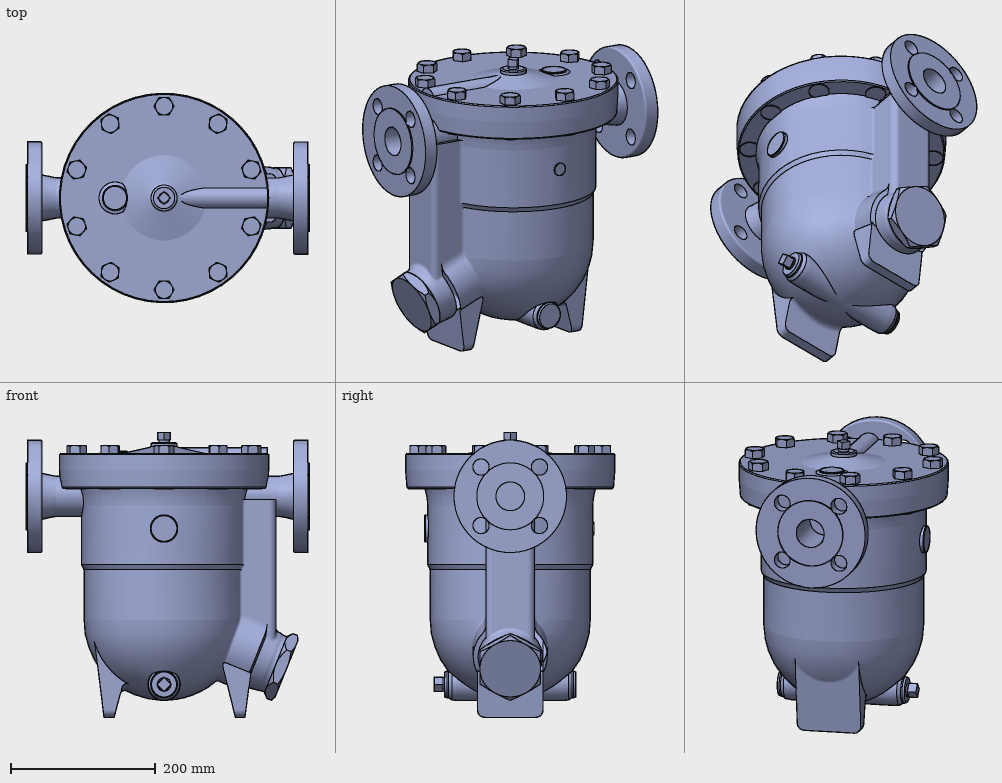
import cadquery as cq
import math


total_height = 394.5
flange_diameter = 290.0
flange_radius = flange_diameter / 2
lid_top = 365.5
lid_bottom = 342.0
flange_bottom = 317.0
flange_draft = 1.5
upper_radius = 114.5
flare_radius = 118.5
flare_bulge = 1.0
flare_bottom = 293.5
step_top = 211.5
step_bottom = 204.7
lower_radius = 111.0
dome_top = 134.5
dome_bottom = dome_top - lower_radius
edge_round = 1.5

cone_foot_radius = 59.0
cone_foot_height = 1.0
cone_base_radius = 53.5
cone_top_radius = 20.0
cone_top = 374.0
plug_seat_diameter = 36.0
plug_seat_foot = 375.0
plug_seat_top = 380.5
plug_seat_chamfer_width = 3.0
plug_seat_chamfer_height = 1.0
ridge_radius = 16.0
ridge_top = 373.5
side_boss_x = -68.0
side_boss_foot_radius = 22.0
side_boss_radius = 17.5
side_boss_foot_height = 1.5
side_boss_height = 3.5
side_boss_chamfer = 1.0
side_boss_root = 4.0

bolt_count = 10
bolt_circle_radius = 127.0
bolt_flats = 24.0
bolt_height = 11.5
bolt_chamfer = 1.5
bolt_pad_diameter = 28.0
bolt_pad_height = 1.0

pipe_z = 306.0
pipe_diameter = 56.0
pipe_flange_diameter = 156.0
pipe_flange_thickness = 20.0
raised_face_diameter = 92.7
raised_face_height = 2.0
hub_radius = 32.0
hub_length = 19.7
rim_round = 2.8
bore_diameter = 40.0
bore_depth = 79.0
stud_hole_diameter = 22.5
stud_circle_diameter = 114.5
stud_hole_count = 4
inlet_face_x = -191.0
outlet_face_x = 201.0

riser_outer_x = 155.0
riser_half_width = 33.5
riser_top = 301.5
riser_edge_round = 8.5
riser_bottom = 79.0
riser_wall_fillet = 4.0

strainer_tilt = 22.0
strainer_end_x = 169.5
strainer_end_z = 67.5
strainer_body_diameter = 102.5
strainer_body_chamfer = 2.5
strainer_body_end = 43.5
strainer_body_length = 79.0
strainer_riser_fillet = 19.7
strainer_neck_fillet = 6.0
strainer_neck_start_diameter = 89.0
strainer_neck_end_diameter = 85.2
strainer_neck_end = 25.0
strainer_collar_diameter = 83.0
strainer_collar_start = 21.0
cap_flats = 84.0
cap_thickness = 16.0
cap_outer_chamfer = 3.0
cap_inner_chamfer = 6.5

foot_width = 90.7
foot_corner_round = 10.3
foot_dome_fillet = 6.0
foot_blank_height = 118.5
foot_blank_length = 394.5
inlet_foot_outline = [(-83.2, 0), (-69.0, 0), (-53.3, 60.0), (-53.3, 106.5), (-96.3, 106.5)]
outlet_foot_outline = [(98.5, 0), (112.0, 0), (120.0, 60.0), (120.0, 79), (81.3, 79), (81.3, 71)]

drain_z = 45.8
drain_radius = 22.5
drain_draft_y = 73.8
drain_shoulder_y = 81.0
drain_shoulder_radius = 21.7
drain_collar_y = 85.5
drain_collar_radius = 18.5
drain_bevel_y = 87.5
drain_end_radius = 17.5
drain_end_y = 90.7
drain_head_side = 14.2
drain_head_length = 12.2
drain_neck_diameter = 18.5
drain_neck_length = 2.5

top_head_side = 12.5
top_head_length = 10.3
plug_neck_diameter = 14.5

wall_boss_z = 261.5
front_boss_diameter = 38.0
front_boss_reach = 118.7
rear_boss_diameter = 17.8
rear_boss_reach = 116.0
wall_boss_chamfer = 1.0

pick_margin = 0.5
body_blend_x = (79, 134)
body_blend_z = (118.5, 157.8)
neck_blend_x = (154, 156.0)
neck_blend_y = (-4, 4)
neck_blend_z = (102.5, 126.2)
wall_blend_x = (102.5, 112.5)
wall_blend_z = (142, 300)
dome_blend_x = (-98.5, -51.3)
dome_blend_y = (-4, 4)
dome_blend_z = (35.5, 110.5)


def cylinder(plane, origin, radius, length):
    return cq.Workplane(plane, origin=origin).circle(radius).extrude(length)


def pick_box(x_range, y_range, z_range):
    """Opposite corners of a box given by its three ranges."""
    return tuple(zip(x_range, y_range, z_range))


def riser_side_boxes(x_range, z_range):
    """Thin boxes around the two flat sides of the riser."""
    return [
        pick_box(x_range, (y - pick_margin, y + pick_margin), z_range)
        for y in (-riser_half_width, riser_half_width)
    ]


def fillet_edges(solid, boxes, radius, kind=None):
    """Round the edges whose centres lie in any of the boxes."""
    edges = solid.edges(kind)
    chosen = []
    for low, high in boxes:
        chosen += edges.edges(cq.selectors.BoxSelector(low, high)).vals()
    return solid.newObject(chosen).fillet(radius)


def make_vessel():
    """Domed body, bolting flange and lid with its central cone, as one turned solid."""
    seat_radius = plug_seat_diameter / 2
    half = math.sqrt(0.5)
    flare_mid = (upper_radius + flare_bulge, (flare_bottom + flange_bottom) / 2)
    return (
        cq.Workplane("XZ")
        .moveTo(0, dome_bottom)
        .threePointArc((lower_radius * half, dome_top - lower_radius * half), (lower_radius, dome_top))
        .lineTo(lower_radius, step_bottom)
        .lineTo(upper_radius, step_top)
        .lineTo(upper_radius, flare_bottom)
        .threePointArc(flare_mid, (flare_radius, flange_bottom))
        .lineTo(flange_radius - flange_draft - edge_round, flange_bottom)
        .lineTo(flange_radius - flange_draft, flange_bottom + edge_round)
        .lineTo(flange_radius, lid_bottom)
        .lineTo(flange_radius, lid_top - edge_round)
        .lineTo(flange_radius - edge_round, lid_top)
        .lineTo(cone_foot_radius, lid_top)
        .lineTo(cone_base_radius, lid_top + cone_foot_height)
        .lineTo(cone_top_radius, cone_top)
        .lineTo(seat_radius, plug_seat_foot)
        .lineTo(seat_radius, plug_seat_top - plug_seat_chamfer_height)
        .lineTo(seat_radius - plug_seat_chamfer_width, plug_seat_top)
        .lineTo(0, plug_seat_top)
        .close()
        .revolve(360, (0, 0, 0), (0, 1, 0))
    )


def make_lid_fittings():
    """Radial ridge from the cone to the lid rim, and the low round boss opposite."""
    ridge_reach = flange_radius - edge_round
    ridge = cylinder("YZ", (0, 0, ridge_top - ridge_radius), ridge_radius, flange_radius)
    ridge = ridge.intersect(cylinder("XY", (0, 0, lid_bottom), ridge_reach, total_height - lid_bottom))
    boss = (
        cq.Workplane("XZ", origin=(side_boss_x, 0, lid_top))
        .moveTo(0, -side_boss_root)
        .lineTo(side_boss_foot_radius, -side_boss_root)
        .lineTo(side_boss_foot_radius, 0)
        .lineTo(side_boss_radius, side_boss_foot_height)
        .lineTo(side_boss_radius, side_boss_height - side_boss_chamfer)
        .lineTo(side_boss_radius - side_boss_chamfer, side_boss_height)
        .lineTo(0, side_boss_height)
        .close()
        .revolve(360, (0, 0, 0), (0, 1, 0))
    )
    return ridge.union(boss)


def make_top_plug():
    """Round neck and square head above the plug seat."""
    head_bottom = total_height - top_head_length
    neck = cylinder("XY", (0, 0, plug_seat_top), plug_neck_diameter / 2, head_bottom - plug_seat_top)
    head = (
        cq.Workplane("XY", origin=(0, 0, head_bottom))
        .rect(top_head_side, top_head_side)
        .extrude(top_head_length)
        .rotate((0, 0, 0), (0, 0, 1), 45)
    )
    return neck.union(head)


def hexagon_head(flats, height, top_chamfer, bottom_chamfer=0):
    """Hexagon prism on XY, corners on the X axis, with its end corners turned off."""
    corner_radius = flats / math.cos(math.pi / 6) / 2
    flat_radius = flats / 2
    prism = cq.Workplane("XY").polygon(6, 2 * corner_radius).extrude(height)
    outline = [(0, 0), (corner_radius, 0)]
    if bottom_chamfer:
        outline = [(0, 0), (flat_radius, 0), (corner_radius, bottom_chamfer)]
    outline += [(corner_radius, height - top_chamfer), (flat_radius, height), (0, height)]
    turned = cq.Workplane("XZ").polyline(outline).close().revolve(360, (0, 0, 0), (0, 1, 0))
    return prism.intersect(turned)


def make_bolts():
    """Hexagon heads on the lid and round pads below the flange, on one circle."""
    bolts = cq.Workplane("XY")
    head = hexagon_head(bolt_flats, bolt_height, bolt_chamfer)
    pad_length = lid_bottom - flange_bottom + bolt_pad_height
    for index in range(bolt_count):
        turn = index * 360 / bolt_count
        angle = math.radians(90 + turn)
        x = bolt_circle_radius * math.cos(angle)
        y = bolt_circle_radius * math.sin(angle)
        pad = cylinder("XY", (x, y, flange_bottom - bolt_pad_height), bolt_pad_diameter / 2, pad_length)
        placed_head = head.rotate((0, 0, 0), (0, 0, 1), turn).translate((x, y, lid_top))
        bolts = bolts.union(placed_head).union(pad)
    return bolts


def make_pipe(face_x):
    """Flanged pipe from the vessel axis to a sealing face at face_x."""
    reach = abs(face_x)
    flange_front = reach - raised_face_height
    flange_back = flange_front - pipe_flange_thickness
    pipe = (
        cq.Workplane("XY")
        .moveTo(0, 0)
        .lineTo(pipe_diameter / 2, 0)
        .lineTo(pipe_diameter / 2, flange_back - hub_length)
        .lineTo(hub_radius, flange_back)
        .lineTo(pipe_flange_diameter / 2 - rim_round, flange_back)
        .radiusArc((pipe_flange_diameter / 2, flange_back + rim_round), -rim_round)
        .lineTo(pipe_flange_diameter / 2, flange_front)
        .lineTo(raised_face_diameter / 2, flange_front)
        .lineTo(raised_face_diameter / 2, reach)
        .lineTo(0, reach)
        .close()
        .revolve(360, (0, 0, 0), (0, 1, 0))
    )
    stud_holes = (
        cq.Workplane("XZ", origin=(0, reach, 0))
        .polarArray(stud_circle_diameter / 2, 45, 360, stud_hole_count)
        .circle(stud_hole_diameter / 2)
        .extrude(raised_face_height + pipe_flange_thickness)
    )
    turn = -90 if face_x > 0 else 90
    return pipe.cut(stud_holes).rotate((0, 0, 0), (0, 0, 1), turn).translate((0, 0, pipe_z))


def make_bore(face_x):
    direction = -1 if face_x > 0 else 1
    return cylinder("YZ", (face_x, 0, pipe_z), bore_diameter / 2, direction * bore_depth)


def make_riser():
    """Upright passage joining the strainer to the outlet pipe."""
    return (
        cq.Workplane("XY", origin=(riser_outer_x / 2, 0, riser_bottom))
        .rect(riser_outer_x, riser_half_width * 2)
        .extrude(riser_top - riser_bottom)
        .edges("|Z and >X")
        .fillet(riser_edge_round)
    )


def make_strainer():
    """Inclined stepped body closed by a hexagon cap."""
    body_radius = strainer_body_diameter / 2
    collar_radius = strainer_collar_diameter / 2
    body = (
        cq.Workplane("XZ")
        .moveTo(0, -strainer_body_end - strainer_body_length)
        .lineTo(body_radius, -strainer_body_end - strainer_body_length)
        .lineTo(body_radius, -strainer_body_end - strainer_body_chamfer)
        .lineTo(strainer_neck_start_diameter / 2, -strainer_body_end)
        .lineTo(strainer_neck_end_diameter / 2, -strainer_neck_end)
        .lineTo(collar_radius, -strainer_collar_start)
        .lineTo(collar_radius, -cap_thickness)
        .lineTo(0, -cap_thickness)
        .close()
        .revolve(360, (0, 0, 0), (0, 1, 0))
    )
    cap = hexagon_head(cap_flats, cap_thickness, cap_outer_chamfer, cap_inner_chamfer)
    return (
        body.union(cap.translate((0, 0, -cap_thickness)))
        .rotate((0, 0, 0), (0, 1, 0), 90 + strainer_tilt)
        .translate((strainer_end_x, 0, strainer_end_z))
    )


def make_outlet_side():
    """Riser and strainer joined, with the blends between them."""
    joined = make_riser().union(make_strainer())
    neck_box = pick_box(neck_blend_x, neck_blend_y, neck_blend_z)
    joined = fillet_edges(joined, [neck_box], strainer_neck_fillet)
    body_boxes = riser_side_boxes(body_blend_x, body_blend_z)
    return fillet_edges(joined, body_boxes, strainer_riser_fillet, "%LINE")


def add_outlet_side(vessel):
    """Join the riser and strainer to the vessel; the blend runs on around the strainer."""
    joined = vessel.union(make_outlet_side())
    wall_boxes = riser_side_boxes(wall_blend_x, wall_blend_z)
    return fillet_edges(joined, wall_boxes, riser_wall_fillet)


def make_foot(outline):
    """Tapered plate with its outline in XZ and rounded lower corners."""
    plate = cq.Workplane("XZ", origin=(0, foot_width / 2, 0)).polyline(outline).close().extrude(foot_width)
    corners = (
        cq.Workplane("YZ", origin=(-foot_blank_length / 2, 0, foot_blank_height / 2))
        .rect(foot_width, foot_blank_height)
        .extrude(foot_blank_length)
        .edges("|X and <Z")
        .fillet(foot_corner_round)
    )
    return plate.intersect(corners)


def add_feet(vessel):
    """Inlet-side foot blended into the dome and outlet-side foot under the strainer."""
    dome_box = pick_box(dome_blend_x, dome_blend_y, dome_blend_z)
    footed = vessel.union(make_foot(inlet_foot_outline))
    footed = fillet_edges(footed, [dome_box], foot_dome_fillet, "%CIRCLE")
    return footed.union(make_foot(outlet_foot_outline))


def make_drains():
    """Drain pipes to front and rear, with a square-headed plug in the front one."""
    profile = (
        cq.Workplane("XY")
        .moveTo(0, 0)
        .lineTo(drain_radius, 0)
        .lineTo(drain_radius, -drain_draft_y)
        .lineTo(drain_shoulder_radius, -drain_shoulder_y)
        .lineTo(drain_collar_radius, -drain_collar_y)
        .lineTo(drain_collar_radius, -drain_bevel_y)
        .lineTo(drain_end_radius, -drain_end_y)
        .lineTo(0, -drain_end_y)
        .close()
        .revolve(360, (0, 0, 0), (0, 1, 0))
    )
    pipes = profile.union(profile.mirror("XZ"))
    neck = cylinder("XZ", (0, -drain_end_y, 0), drain_neck_diameter / 2, drain_neck_length)
    head = (
        cq.Workplane("XZ", origin=(0, -drain_end_y - drain_neck_length, 0))
        .rect(drain_head_side, drain_head_side)
        .extrude(drain_head_length)
        .rotate((0, 0, 0), (0, 1, 0), 45)
    )
    return pipes.union(neck).union(head).translate((0, 0, drain_z))


def make_wall_bosses():
    """Round bosses on the front and rear of the vessel wall."""
    front = cylinder("XZ", (0, 0, wall_boss_z), front_boss_diameter / 2, front_boss_reach)
    front = front.faces("<Y").chamfer(wall_boss_chamfer)
    rear = cylinder("XZ", (0, 0, wall_boss_z), rear_boss_diameter / 2, -rear_boss_reach)
    return front.union(rear)


result = add_feet(add_outlet_side(make_vessel()))
for feature in (
    make_lid_fittings(),
    make_top_plug(),
    make_bolts(),
    make_pipe(inlet_face_x),
    make_pipe(outlet_face_x),
    make_drains(),
    make_wall_bosses(),
):
    result = result.union(feature)
for face_x in (inlet_face_x, outlet_face_x):
    result = result.cut(make_bore(face_x))